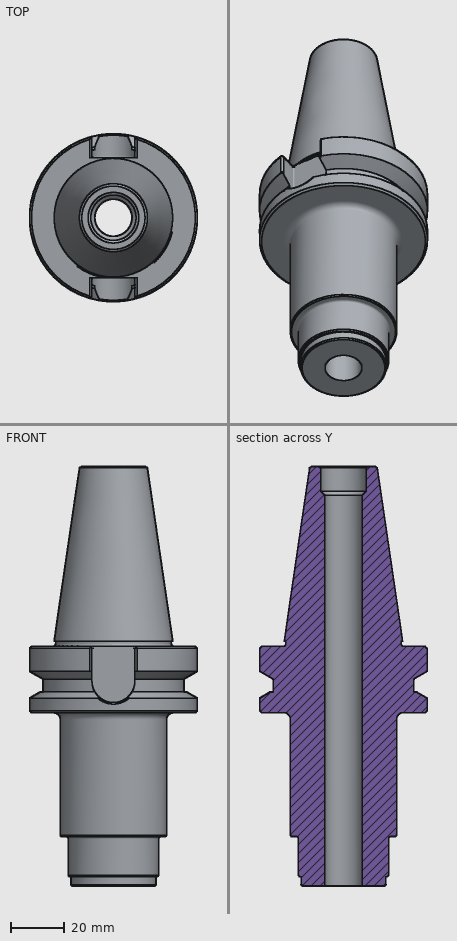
import cadquery as cq
import math


gauge_dia = 44.45
taper_ratio = 7 / 24
taper_length = 65.4
taper_end_chamfer_width = 0.9
taper_end_chamfer_height = 0.5
taper_chamfer_z = taper_length - taper_end_chamfer_height
taper_end_dia = gauge_dia - taper_chamfer_z * taper_ratio
relief_depth = 0.5
relief_top_z = -0.2
relief_root_radius = 1.0
land_top_z = 0.3

flange_dia = 63.0
flange_top_z = -2.0
flange_bottom_z = -27.0
flange_top_chamfer = 0.8
flange_bottom_chamfer = 0.8
groove_floor_dia = 53.0
groove_mouth_width = 10.0
groove_middle_z = -16.45
groove_wall_angle = 30.0
groove_ledge_width = 1.0

overall_length = 157.3
nose_end_z = taper_length - overall_length
body_dia = 40.0
body_root_radius = 2.4
body_end_z = nose_end_z + 18.5
body_end_chamfer = 0.5
step_dia = 34.0
step_root_radius = 0.8
step_end_z = nose_end_z + 3.5
step_end_chamfer = 0.5
spigot_dia = 32.0
spigot_chamfer = 0.5

bore_dia = 13.84
counterbore_dia = 17.0
counterbore_depth = 9.3
counterbore_mouth_dia = 19.0
counterbore_mouth_slope_angle = 30.0
counterbore_cone_angle = 45.0

slot_width = 16.1
slot_floor_y = 22.5
slot_end_z = -23.1
slot_edge_chamfer = 0.85
slot_end_chamfer = 0.6
slot_floor_fillet = 0.5


def turned_body():
    taper_r = taper_end_dia / 2
    gauge_r = gauge_dia / 2
    relief_r = gauge_r - relief_depth
    flange_r = flange_dia / 2
    groove_r = groove_floor_dia / 2
    body_r = body_dia / 2
    step_r = step_dia / 2
    spigot_r = spigot_dia / 2

    groove_wall_slope = math.tan(math.radians(groove_wall_angle))
    groove_wall_height = (flange_r - groove_r) * groove_wall_slope
    groove_top_z = groove_middle_z + groove_mouth_width / 2
    groove_bottom_z = groove_middle_z - groove_mouth_width / 2
    groove_ledge_z = groove_bottom_z + groove_wall_height - groove_ledge_width * groove_wall_slope

    fillet_mid = 1 - math.sqrt(0.5)

    profile = (
        cq.Workplane("XZ")
        .moveTo(0, taper_length)
        .lineTo(taper_r - taper_end_chamfer_width, taper_length)
        .lineTo(taper_r, taper_chamfer_z)
        .lineTo(gauge_r, land_top_z)
        .lineTo(gauge_r, relief_top_z)
        .lineTo(relief_r, relief_top_z)
        .lineTo(relief_r, flange_top_z + relief_root_radius)
        .threePointArc(
            (relief_r + fillet_mid * relief_root_radius, flange_top_z + fillet_mid * relief_root_radius),
            (relief_r + relief_root_radius, flange_top_z),
        )
        .lineTo(flange_r - flange_top_chamfer, flange_top_z)
        .lineTo(flange_r, flange_top_z - flange_top_chamfer)
        .lineTo(flange_r, groove_top_z)
        .lineTo(groove_r, groove_top_z - groove_wall_height)
        .lineTo(groove_r, groove_ledge_z)
        .lineTo(groove_r + groove_ledge_width, groove_ledge_z)
        .lineTo(flange_r, groove_bottom_z)
        .lineTo(flange_r, flange_bottom_z + flange_bottom_chamfer)
        .lineTo(flange_r - flange_bottom_chamfer, flange_bottom_z)
        .lineTo(body_r + body_root_radius, flange_bottom_z)
        .threePointArc(
            (body_r + fillet_mid * body_root_radius, flange_bottom_z - fillet_mid * body_root_radius),
            (body_r, flange_bottom_z - body_root_radius),
        )
        .lineTo(body_r, body_end_z + body_end_chamfer)
        .lineTo(body_r - body_end_chamfer, body_end_z)
        .lineTo(step_r + step_root_radius, body_end_z)
        .threePointArc(
            (step_r + fillet_mid * step_root_radius, body_end_z - fillet_mid * step_root_radius),
            (step_r, body_end_z - step_root_radius),
        )
        .lineTo(step_r, step_end_z + step_end_chamfer)
        .lineTo(step_r - step_end_chamfer, step_end_z)
        .lineTo(spigot_r, step_end_z)
        .lineTo(spigot_r, nose_end_z + spigot_chamfer)
        .lineTo(spigot_r - spigot_chamfer, nose_end_z)
        .lineTo(0, nose_end_z)
        .close()
    )
    return profile.revolve(360, (0, 0, 0), (0, 1, 0))


def bore_cutter():
    bore_r = bore_dia / 2
    counterbore_r = counterbore_dia / 2
    mouth_r = counterbore_mouth_dia / 2
    mouth_slope = math.tan(math.radians(counterbore_mouth_slope_angle))
    mouth_depth = (mouth_r - counterbore_r) * mouth_slope
    cone_top_z = taper_length - counterbore_depth
    cone_height = (counterbore_r - bore_r) / math.tan(math.radians(counterbore_cone_angle))
    profile = (
        cq.Workplane("XZ")
        .moveTo(0, taper_length)
        .lineTo(mouth_r, taper_length)
        .lineTo(counterbore_r, taper_length - mouth_depth)
        .lineTo(counterbore_r, cone_top_z)
        .lineTo(bore_r, cone_top_z - cone_height)
        .lineTo(bore_r, nose_end_z)
        .lineTo(0, nose_end_z)
        .close()
    )
    return profile.revolve(360, (0, 0, 0), (0, 1, 0))


def slot_cutter():
    """Slot on the -Y side: round-ended, filleted at its floor, with bevelled mouth edges."""
    half_width = slot_width / 2
    bevel_half_width = half_width + slot_edge_chamfer
    flange_r = flange_dia / 2
    round_centre_z = slot_end_z + half_width
    slot_depth = flange_r - slot_floor_y
    groove_top_z = groove_middle_z + groove_mouth_width / 2

    channel_top_z = flange_top_z + slot_floor_fillet
    channel = (
        cq.Workplane("XZ", origin=(0, -slot_floor_y, 0))
        .moveTo(-half_width, channel_top_z)
        .lineTo(-half_width, round_centre_z)
        .threePointArc((0, slot_end_z), (half_width, round_centre_z))
        .lineTo(half_width, channel_top_z)
        .close()
        .extrude(slot_depth)
    )
    channel = channel.edges(">Y").edges("not >Z").fillet(slot_floor_fillet)

    top_bevel = (
        cq.Workplane("XZ", origin=(0, -slot_floor_y, 0))
        .moveTo(-bevel_half_width, flange_top_z)
        .lineTo(bevel_half_width, flange_top_z)
        .lineTo(half_width, flange_top_z - slot_edge_chamfer)
        .lineTo(-half_width, flange_top_z - slot_edge_chamfer)
        .close()
        .extrude(slot_depth)
    )

    bevel_outer_y = math.sqrt(flange_r**2 - bevel_half_width**2)
    bevel_inner_y = bevel_outer_y - slot_edge_chamfer
    side_bevel = (
        cq.Workplane("XY", origin=(0, 0, groove_top_z))
        .moveTo(-half_width, -bevel_inner_y)
        .lineTo(half_width, -bevel_inner_y)
        .lineTo(bevel_half_width, -bevel_outer_y)
        .lineTo(bevel_half_width, -flange_r)
        .lineTo(-bevel_half_width, -flange_r)
        .lineTo(-bevel_half_width, -bevel_outer_y)
        .close()
        .extrude(flange_top_z - groove_top_z)
    )
    return channel.union(top_bevel).union(side_bevel)


def slot_end_edges(part):
    """Edges where the round slot ends break through the outer face of the lower flange."""
    groove_bottom_z = groove_middle_z - groove_mouth_width / 2
    flange_r = flange_dia / 2
    half_width = slot_width / 2
    edge_inner_y = math.sqrt(flange_r**2 - half_width**2)
    front_box = cq.selectors.BoxSelector(
        (-half_width, -flange_r, slot_end_z),
        (half_width, -edge_inner_y, groove_bottom_z),
    )
    back_box = cq.selectors.BoxSelector(
        (-half_width, edge_inner_y, slot_end_z),
        (half_width, flange_r, groove_bottom_z),
    )
    return part.edges(front_box + back_box).edges("not %CIRCLE")


result = turned_body().cut(bore_cutter())
for turn in (0, 180):
    result = result.cut(slot_cutter().rotate((0, 0, 0), (0, 0, 1), turn))
result = slot_end_edges(result).chamfer(slot_end_chamfer)